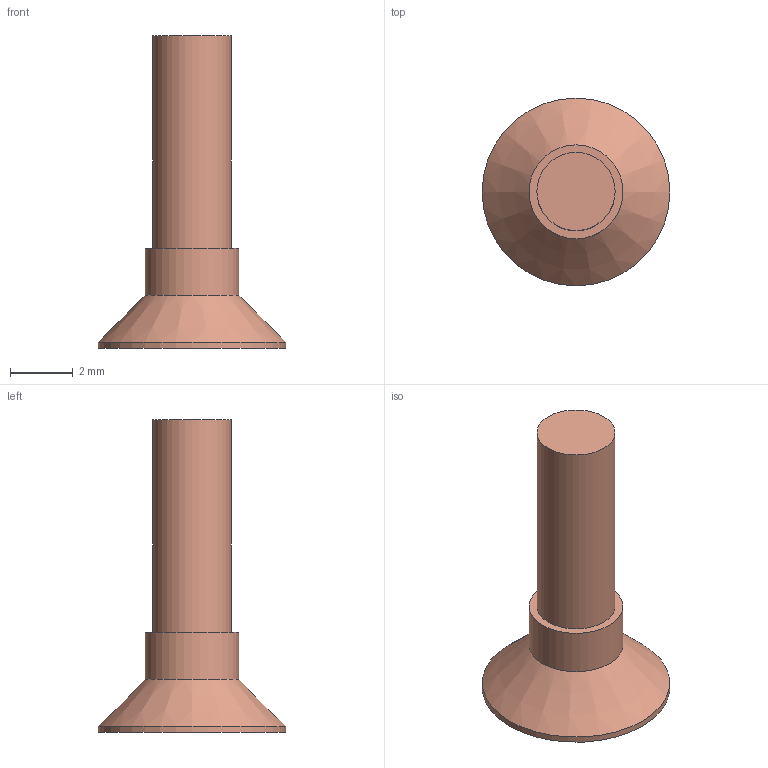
import cadquery as cq

total_length = 10.0
head_diameter = 6.0
rim_height = 0.2
collar_diameter = 3.0
collar_height = 1.5
shank_diameter = 2.5

head_radius = head_diameter / 2
collar_radius = collar_diameter / 2
shank_radius = shank_diameter / 2
cone_top = rim_height + head_radius - collar_radius
collar_top = cone_top + collar_height

half_section = (
    cq.Workplane("XZ")
    .moveTo(0, 0)
    .lineTo(head_radius, 0)
    .lineTo(head_radius, rim_height)
    .lineTo(collar_radius, cone_top)
    .lineTo(collar_radius, collar_top)
    .lineTo(shank_radius, collar_top)
    .lineTo(shank_radius, total_length)
    .lineTo(0, total_length)
    .close()
)

result = half_section.revolve(360, (0, 0, 0), (0, 1, 0))